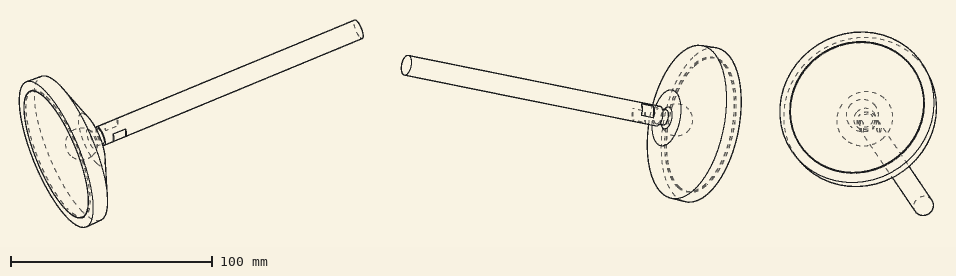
import cadquery as cq

overall_length = 170.0
foot_diameter = 78.0

rim_height = 8.3
rim_top_diameter = 77.4
foot_height = 20.0
foot_top_diameter = 28.2
groove_outer_diameter = 68.0
groove_inner_diameter = 67.5
groove_depth = 1.0

rod_diameter = 10.0
neck_diameter = 7.8
rod_start = 25.0
ball_diameter = 16.0
ball_center = foot_height - 5.8
flats_start = 30.0
flats_length = 7.0
across_flats = 8.0


def cylinder_y(diameter, start, end):
    """Cylinder on the Y axis between two Y positions."""
    axis_start = cq.Vector(0, start, 0)
    solid = cq.Solid.makeCylinder(diameter / 2, end - start, axis_start, cq.Vector(0, 1, 0))
    return cq.Workplane(solid)


def make_ball():
    """Ball at the lower end of the spindle."""
    return cq.Workplane("XY").sphere(ball_diameter / 2).translate((0, ball_center, 0))


def make_flats_cutter():
    """Stock outside the two parallel wrench flats on the -X and +X sides."""
    flats_middle = flats_start + flats_length / 2
    stock = cq.Workplane("XY").box(2 * rod_diameter, flats_length, 2 * rod_diameter)
    kept = cq.Workplane("XY").box(across_flats, flats_length, 2 * rod_diameter)
    return stock.cut(kept).translate((0, flats_middle, 0))


def make_spindle():
    """Rod with wrench flats, a thinner neck and a ball end."""
    rod = cylinder_y(rod_diameter, rod_start, overall_length)
    neck = cylinder_y(neck_diameter, ball_center, rod_start)
    return rod.cut(make_flats_cutter()).union(neck).union(make_ball())


def make_foot():
    """Conical foot with a drafted rim, a ring groove in the sole and a ball socket."""
    foot = (
        cq.Workplane("XY")
        .polyline([
            (0, 0),
            (foot_diameter / 2, 0),
            (rim_top_diameter / 2, rim_height),
            (foot_top_diameter / 2, foot_height),
            (0, foot_height),
        ])
        .close()
        .revolve(360, (0, 0, 0), (0, 1, 0))
    )
    groove_core = cylinder_y(groove_inner_diameter, 0, groove_depth)
    groove = cylinder_y(groove_outer_diameter, 0, groove_depth).cut(groove_core)
    return foot.cut(groove).cut(make_ball())


foot = make_foot()
spindle = make_spindle()

result = cq.Compound.makeCompound([foot.val(), spindle.val()])